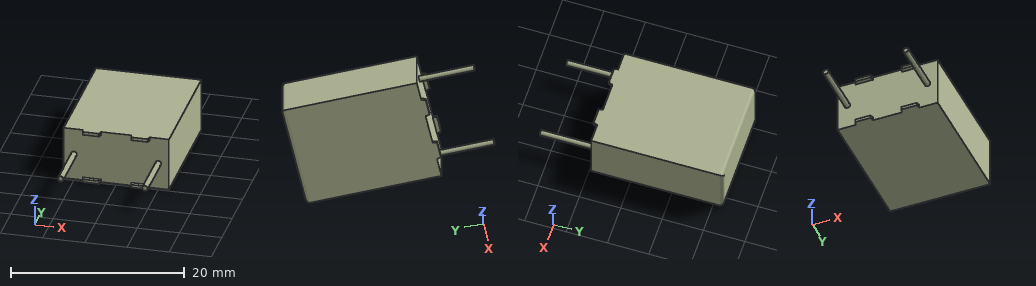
import cadquery as cq


total_length = 22.5
lead_length = 6.5

housing_width = 12.5
housing_height = 6.5
housing_length = total_length - lead_length
back_edge_radius = 0.5

tab_spacing = 5.75
tab_root_width = 2.2
tab_tip_width = 1.91
tab_length = 0.5
tab_thickness = 0.38

lead_spacing = 10.0
lead_diameter = 0.68


def make_housing_block():
    """Box with its front face on Y = 0 and rounded edges around its back face."""
    block = cq.Workplane("XY").box(
        housing_width, housing_length, housing_height, centered=(True, False, True)
    )
    return block.faces(">Y").edges().fillet(back_edge_radius)


def make_tab(center_x, bottom_z):
    """Trapezoidal tab that narrows from the front face towards its tip."""
    half_root = tab_root_width / 2
    half_tip = tab_tip_width / 2
    return (
        cq.Workplane("XY", origin=(center_x, 0, bottom_z))
        .moveTo(-half_root, 0)
        .lineTo(half_root, 0)
        .lineTo(half_tip, -tab_length)
        .lineTo(-half_tip, -tab_length)
        .close()
        .extrude(tab_thickness)
    )


def make_housing():
    """Housing block with a pair of tabs along the top and along the bottom."""
    housing = make_housing_block()
    lower_tab_z = -housing_height / 2
    upper_tab_z = housing_height / 2 - tab_thickness
    for center_x in (-tab_spacing / 2, tab_spacing / 2):
        for bottom_z in (lower_tab_z, upper_tab_z):
            housing = housing.union(make_tab(center_x, bottom_z))
    return housing


def make_lead(center_x):
    """Round wire that starts at the front face and runs towards -Y."""
    return (
        cq.Workplane("XZ", origin=(center_x, 0, 0))
        .circle(lead_diameter / 2)
        .extrude(lead_length)
    )


housing = make_housing()
leads = [make_lead(center_x) for center_x in (-lead_spacing / 2, lead_spacing / 2)]

result = cq.Compound.makeCompound([housing.val(), *[lead.val() for lead in leads]])